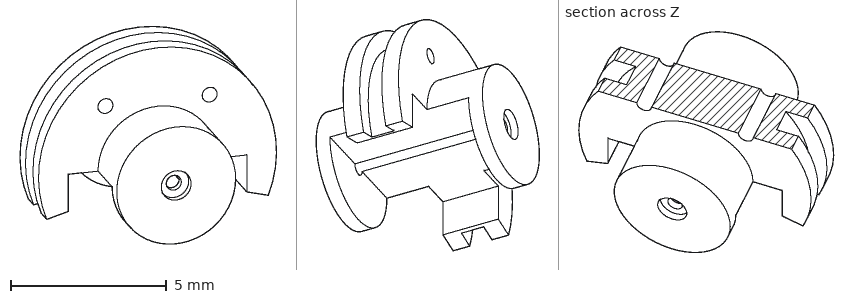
import cadquery as cq
import math

hub_length = 6.0
hub_radius = 2.0
cheek_thickness = 0.5

wheel_width = 2.0
wheel_radius = 4.0
groove_width = 0.8
groove_radius = 3.4

leg_inner_y = 3.0
leg_inner_depth = 1.27
leg_end_angle = 15.0

bore_diameter = 0.5
counterbore_diameter = 1.0
counterbore_depth = cheek_thickness / 2
pin_hole_diameter = 0.5
pin_hole_y = 1.75
pin_hole_z = 2.2


def disc(radius, width, y=0.0, z=0.0, centre_x=0.0):
    """Cylinder along X, centred on centre_x."""
    start = cq.Workplane("YZ", origin=(centre_x - width / 2, y, z))
    return start.circle(radius).extrude(width)


def make_wheel():
    """Grooved wheel, cut away below the axis except for the two legs."""
    rim = disc(wheel_radius, wheel_width)
    groove = disc(wheel_radius, groove_width).cut(disc(groove_radius, groove_width))

    leg_end_drop = (wheel_radius - leg_inner_y) * math.tan(math.radians(leg_end_angle))
    leg_outer_depth = leg_inner_depth + leg_end_drop
    kept_profile = [
        (wheel_radius, wheel_radius),
        (wheel_radius, -leg_outer_depth),
        (leg_inner_y, -leg_inner_depth),
        (leg_inner_y, 0),
        (-leg_inner_y, 0),
        (-leg_inner_y, -leg_inner_depth),
        (-wheel_radius, -leg_outer_depth),
        (-wheel_radius, wheel_radius),
    ]
    kept = cq.Workplane("YZ").polyline(kept_profile).close().extrude(wheel_width / 2, both=True)
    return rim.cut(groove).intersect(kept)


def make_hub():
    """Round bar with its lower half removed between the end cheeks."""
    gap = cq.Workplane("XY").box(
        hub_length - 2 * cheek_thickness,
        2 * hub_radius,
        hub_radius,
        centered=(True, True, False),
    )
    return disc(hub_radius, hub_length).cut(gap.translate((0, 0, -hub_radius)))


def cut_bore(body):
    """Through bore on the axis, counterbored at both ends."""
    body = body.cut(disc(bore_diameter / 2, hub_length))
    counterbore_x = (hub_length - counterbore_depth) / 2
    for side in (-1, 1):
        body = body.cut(disc(counterbore_diameter / 2, counterbore_depth, centre_x=side * counterbore_x))
    return body


def cut_pin_holes(body):
    """Pair of holes through the wheel, above the hub."""
    for side in (-1, 1):
        body = body.cut(disc(pin_hole_diameter / 2, wheel_width, y=side * pin_hole_y, z=pin_hole_z))
    return body


result = cut_pin_holes(cut_bore(make_wheel().union(make_hub())))